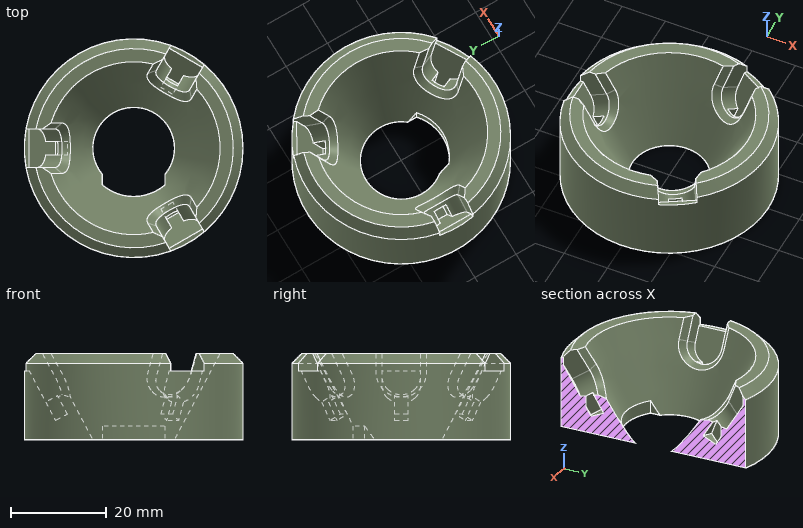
import cadquery as cq
import math

outer_radius = 22.8
height = 18.0
rim_chamfer = 2.05

mouth_radius = 18.0
throat_radius = 8.5
relief_radius = 10.05
relief_width = 13.05

pocket_count = 3
first_pocket_angle = 60.0
pocket_radius = 4.0
pocket_chamfer = 1.28
ledge_radius = 21.75
ledge_height = 14.4
floor_end_radius = 18.2
pocket_reach = 13.7

slot_width = 2.85
slot_length = 4.1
slot_depth = 2.8

slope_length = math.hypot(mouth_radius - throat_radius, height)
slope_cos = (mouth_radius - throat_radius) / slope_length
slope_sin = height / slope_length

floor_plane = cq.Plane(
    origin=(ledge_radius, 0, ledge_height),
    xDir=(-slope_cos, 0, -slope_sin),
    normal=(-slope_sin, 0, slope_cos),
)
floor_length = (ledge_radius - floor_end_radius) / slope_cos
arc_center = floor_length - pocket_radius


def make_ring():
    body = cq.Workplane("XY").circle(outer_radius).extrude(height)
    body = body.faces(">Z").edges().chamfer(rim_chamfer)
    bowl = (
        cq.Workplane("XZ")
        .polyline([(0, 0), (throat_radius, 0), (mouth_radius, height), (0, height)])
        .close()
        .revolve(360, (0, 0, 0), (0, 1, 0))
    )
    return body.cut(bowl)


def make_pocket():
    pocket = (
        cq.Workplane(floor_plane)
        .moveTo(-pocket_reach, -pocket_radius)
        .lineTo(arc_center, -pocket_radius)
        .threePointArc((floor_length, 0), (arc_center, pocket_radius))
        .lineTo(-pocket_reach, pocket_radius)
        .close()
        .extrude(pocket_reach)
    )
    ledge = cq.Workplane("XY").box(
        outer_radius, 2 * pocket_radius, height, centered=(False, True, False)
    )
    return pocket.union(ledge.translate((ledge_radius, 0, ledge_height)))


def make_slot():
    slot_middle = floor_length + (slot_length - pocket_radius) / 2
    return (
        cq.Workplane(floor_plane)
        .center(slot_middle, 0)
        .rect(slot_length + pocket_radius, slot_width)
        .extrude(slot_depth)
    )


def make_relief():
    strip = (
        cq.Workplane("XY")
        .center(0, -relief_radius / 2)
        .rect(relief_width, relief_radius)
        .extrude(height)
    )
    return cq.Workplane("XY").circle(relief_radius).extrude(height).intersect(strip)


def around_axis(shape, angle):
    return shape.rotate((0, 0, 0), (0, 0, 1), angle)


def bevel_pocket_edges(body):
    """Bevel where the pocket walls meet the bowl, the cone reaching down to the base."""
    bowl_face = min(body.faces("%CONE").vals(), key=lambda face: face.BoundingBox().zmin)
    pocket_edges = [
        edge for edge in bowl_face.Edges() if edge.geomType() not in ("CIRCLE", "LINE")
    ]
    return body.newObject(pocket_edges).chamfer(pocket_chamfer)


pocket_angles = [
    first_pocket_angle + 360.0 / pocket_count * i for i in range(pocket_count)
]

result = make_ring()
for angle in pocket_angles:
    result = result.cut(around_axis(make_pocket(), angle))
result = bevel_pocket_edges(result)
for angle in pocket_angles:
    result = result.cut(around_axis(make_slot(), angle))
result = result.cut(make_relief())